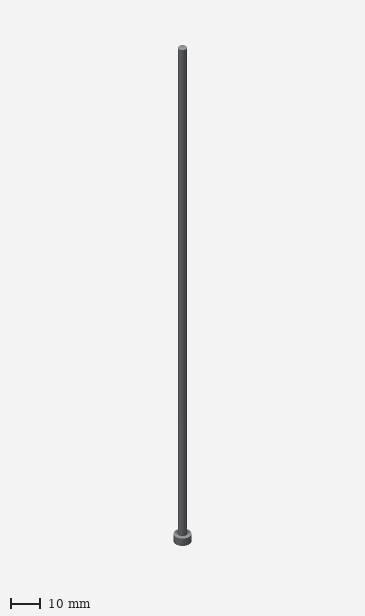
import cadquery as cq

total_length = 200.0
head_diameter = 6.0
head_height = 3.0
shaft_diameter = 3.0


def make_head():
    """Disc-shaped head with its underside on Z = 0."""
    return cq.Workplane("XY").circle(head_diameter / 2).extrude(head_height)


def make_shaft():
    """Round shaft rising from the top of the head to the full length."""
    shaft_length = total_length - head_height
    return cq.Workplane("XY").workplane(offset=head_height).circle(shaft_diameter / 2).extrude(shaft_length)


result = make_head().union(make_shaft())